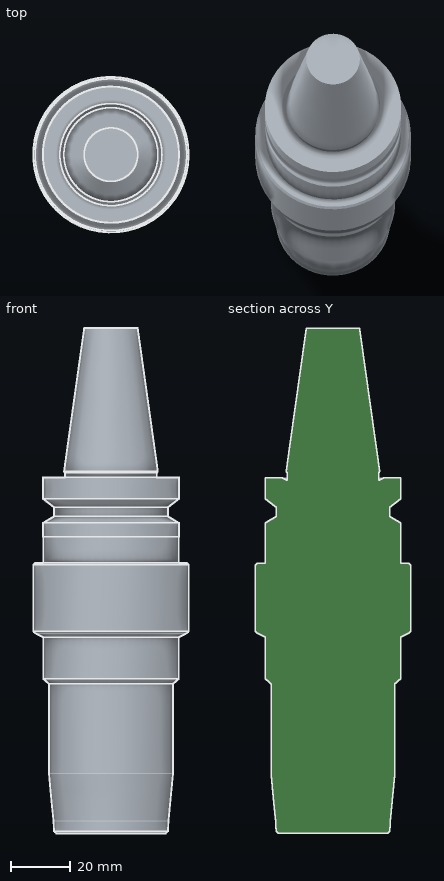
import cadquery as cq

total_height = 170.4
gauge_height = 122.0
flange_top = 120.0
collar_top = 91.2
collar_bottom = 68.2
shoulder_bottom = 52.1
nose_top = 20.3
nose_tip_top = 4.3
body_top = 100.0

taper_top_radius = 9.0
gauge_radius = 15.8
flange_radius = 23.0
flange_overhang = 0.09
body_radius = flange_radius - flange_overhang
collar_radius = 26.2
sleeve_radius = 21.0
nose_cone_radius = 19.5
nose_radius = 19.3

neck_radius = 15.5
neck_top = 121.5
neck_bottom = 119.1
neck_flare_radius = 17.2

groove_upper_edge = 112.8
groove_lower_edge = 104.6
groove_floor_radius = 19.3
groove_floor_top = 109.9
groove_floor_bottom = 106.8

collar_chamfer = 0.7
collar_cone_height = 1.4
shoulder_cone_height = 1.7
nose_chamfer = 0.9

half_section = [
    (0, 0),
    (nose_radius - nose_chamfer, 0),
    (nose_radius, nose_chamfer),
    (nose_cone_radius, nose_tip_top),
    (sleeve_radius, nose_top),
    (sleeve_radius, shoulder_bottom - shoulder_cone_height),
    (body_radius, shoulder_bottom),
    (body_radius, collar_bottom - collar_chamfer - collar_cone_height),
    (collar_radius - collar_chamfer, collar_bottom - collar_chamfer),
    (collar_radius, collar_bottom),
    (collar_radius, collar_top - collar_chamfer),
    (collar_radius - collar_chamfer, collar_top),
    (body_radius, collar_top),
    (body_radius, body_top),
    (flange_radius, body_top),
    (flange_radius, groove_lower_edge),
    (groove_floor_radius, groove_floor_bottom),
    (groove_floor_radius, groove_floor_top),
    (flange_radius, groove_upper_edge),
    (flange_radius, flange_top),
    (neck_flare_radius, flange_top),
    (neck_radius, neck_bottom),
    (neck_radius, neck_top),
    (gauge_radius, gauge_height),
    (taper_top_radius, total_height),
    (0, total_height),
]

result = cq.Workplane("XZ").polyline(half_section).close().revolve(360, (0, 0), (0, 1))